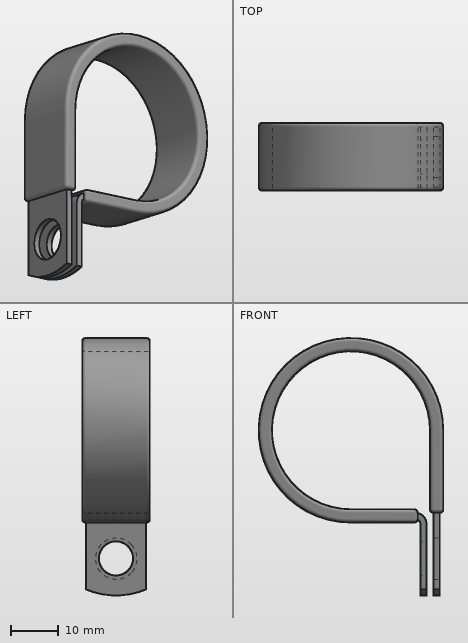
import cadquery as cq
import math

inner_radius = 16.62
cushion_thickness = 2.85
cushion_width = 14.29
cushion_edge_radius = 0.75
strap_thickness = 1.34
strap_width = 12.7
middle_radius = inner_radius + cushion_thickness / 2

cushion_end_below_axis = 17.4
cushion_end_beside_axis = 14.05

leg_gap = 1.42
bend_inner_radius = 1.1
bend_middle_radius = bend_inner_radius + strap_thickness / 2
bent_leg_x = middle_radius - leg_gap - strap_thickness
bend_outer_radius = bend_inner_radius + strap_thickness
bend_start_x = bent_leg_x - bend_middle_radius
bend_z = -middle_radius - bend_middle_radius
leg_tip_z = -34.84
tip_arc_height = 1.3
bent_leg_hole_diameter = 7.14
straight_leg_hole_diameter = 8.73
hole_z = -27.0

diagonal = math.sqrt(0.5)


def loop_band(thickness, width, straight_down, straight_across):
    """Three-quarter ring with a straight tail at each end, centred on Y = 0."""
    outer = middle_radius + thickness / 2
    inner = middle_radius - thickness / 2
    return (
        cq.Workplane("XZ")
        .moveTo(outer, -straight_down)
        .lineTo(outer, 0)
        .threePointArc((-outer * diagonal, outer * diagonal), (0, -outer))
        .lineTo(straight_across, -outer)
        .lineTo(straight_across, -inner)
        .lineTo(0, -inner)
        .threePointArc((-inner * diagonal, inner * diagonal), (inner, 0))
        .lineTo(inner, -straight_down)
        .close()
        .extrude(width / 2, both=True)
    )


def make_cushion():
    """Jacket with every edge rounded, including those at its two ends."""
    band = loop_band(
        cushion_thickness, cushion_width, cushion_end_below_axis, cushion_end_beside_axis
    )
    rounded_edges = band.faces("<Y or >Y").edges()
    end_edges = band.edges("|Y").filter(is_end_edge)
    return band.newObject(rounded_edges.vals() + end_edges.vals()).fillet(cushion_edge_radius)


def is_end_edge(edge):
    """True for a cross edge at a jacket end, not where an arc meets a straight."""
    centre = edge.Center()
    tolerance = 0.01
    on_lower_tail = centre.x > inner_radius - tolerance
    at_lower_end = on_lower_tail and abs(centre.z + cushion_end_below_axis) < tolerance
    at_side_end = abs(centre.x - cushion_end_beside_axis) < tolerance
    return at_lower_end or at_side_end


def make_bent_leg():
    """Quarter bend followed by the leg, continuing the strap's lower tail."""
    outer_offset = bend_outer_radius * diagonal
    inner_offset = bend_inner_radius * diagonal
    return (
        cq.Workplane("XZ")
        .moveTo(bend_start_x, bend_z + bend_outer_radius)
        .threePointArc(
            (bend_start_x + outer_offset, bend_z + outer_offset),
            (bend_start_x + bend_outer_radius, bend_z),
        )
        .lineTo(bend_start_x + bend_outer_radius, leg_tip_z)
        .lineTo(bend_start_x + bend_inner_radius, leg_tip_z)
        .lineTo(bend_start_x + bend_inner_radius, bend_z)
        .threePointArc(
            (bend_start_x + inner_offset, bend_z + inner_offset),
            (bend_start_x, bend_z + bend_inner_radius),
        )
        .close()
        .extrude(strap_width / 2, both=True)
    )


def make_leg_outline():
    """Strap silhouette across Y and Z: straight sides and an arched tip, through all X."""
    half_width = strap_width / 2
    reach = middle_radius + cushion_thickness
    return (
        cq.Workplane("YZ")
        .moveTo(-half_width, reach)
        .lineTo(-half_width, leg_tip_z + tip_arc_height)
        .threePointArc((0, leg_tip_z), (half_width, leg_tip_z + tip_arc_height))
        .lineTo(half_width, reach)
        .close()
        .extrude(reach, both=True)
    )


def make_leg_hole(leg_x, diameter):
    """Bolt hole cutter along X, passing through the leg centred at leg_x only."""
    length = strap_thickness + leg_gap
    return (
        cq.Workplane("YZ", origin=(leg_x - length / 2, 0, hole_z))
        .circle(diameter / 2)
        .extrude(length)
    )


def make_strap():
    """Metal strap: loop, straight leg and bent leg, trimmed to the leg outline."""
    loop = loop_band(strap_thickness, strap_width, -leg_tip_z, bend_start_x)
    strap = loop.union(make_bent_leg()).intersect(make_leg_outline())
    strap = strap.cut(make_leg_hole(bent_leg_x, bent_leg_hole_diameter))
    return strap.cut(make_leg_hole(middle_radius, straight_leg_hole_diameter))


result = make_cushion().union(make_strap())